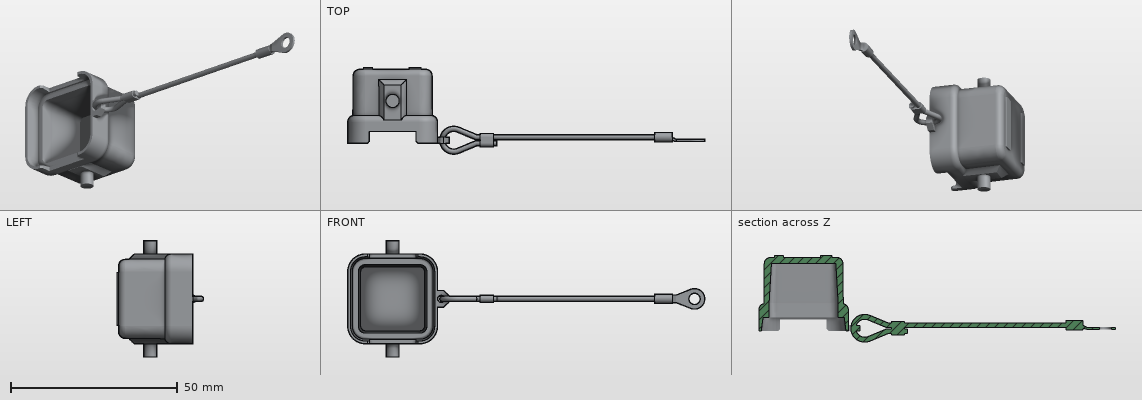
import cadquery as cq
import math


rim_width = 27.1
rim_corner = 5.4
rim_depth = 8.5
rim_fillet = 2.0
rim_edge_wall = 0.9
rim_ledge_wall = 1.4
body_inset = 1.5
body_width = rim_width - 2 * body_inset
body_corner = rim_corner - body_inset
cap_depth = 22.4
back_fillet = 2.0
body_draft = 0.4

ledge_depth = 4.2
cavity_width = 20.6
cavity_corner = 2.1
cavity_draft = 3.4
floor_thickness = 1.9

notch_width = 14.0
notch_depth = 3.5
notch_chamfer = 0.6

boss_width = 8.2
boss_front = 7.1
boss_back = 19.1
boss_slope = body_inset
boss_root = 1.1
pin_diameter = 4.0
pin_span = 35.0
pin_y = 12.8

strip_height = 0.5
strip_length = 15.9
strips = ((-7.4, 2.8), (6.8, 3.7))

tab_half_height = 2.6
tab_tip_half_height = 0.9
tab_straight = 1.7
tab_reach = 3.5
tab_thickness = 1.9
tab_hole_diameter = 2.0
tab_hole_offset = 1.1

wire_diameter = 1.6
strand_gap = 1.8
loop_radius = 3.4
loop_x = rim_width / 2 + 4.8
loop_y = tab_thickness / 2
ferrule_start = 26.3
ferrule_end = 30.4
ferrule_diameter = 2.3
stub_end = 31.4
leg_end = 25.1

terminal_tip = 107.5 - rim_width / 2
sleeve_diameter = 2.9
sleeve_start = 78.8
sleeve_end = 84.1
neck_end = 85.3
neck_half_height = 1.2
neck_rise = 0.3
blade_y = 0.5
blade_thickness = 0.8
ring_radius = 3.1
ring_hole_diameter = 3.3


def square_prism(width, corner, y_start, y_end, draft=0.0):
    """Square bar along +Y with rounded corners, narrowing by the draft angle."""
    outline = cq.Sketch().rect(width, width).vertices().fillet(corner)
    plane = cq.Workplane("XZ", origin=(0, y_start, 0))
    return plane.placeSketch(outline).extrude(-(y_end - y_start), taper=draft)


def make_cap():
    rim = square_prism(rim_width, rim_corner, 0, rim_depth)
    rim = rim.faces(">Y").edges().fillet(rim_fillet)
    body = square_prism(body_width, body_corner, ledge_depth, cap_depth, body_draft)
    body = body.faces(">Y").edges().fillet(back_fillet)
    return rim.union(body)


def cut_cavity(cap):
    """Tapered mouth down to the sealing ledge, a straight throat and a tapered pocket behind it."""
    mouth_width = rim_width - 2 * rim_edge_wall
    mouth_draft = math.degrees(math.atan2(rim_ledge_wall - rim_edge_wall, ledge_depth))
    mouth = square_prism(mouth_width, rim_corner - rim_edge_wall, 0, ledge_depth, mouth_draft)
    throat = square_prism(cavity_width, cavity_corner, ledge_depth, rim_depth)
    pocket = square_prism(cavity_width, cavity_corner, rim_depth, cap_depth - floor_thickness, cavity_draft)
    return cap.cut(mouth).cut(throat).cut(pocket)


def make_notch():
    """Notch through the top and bottom rim walls, flared at the open rim."""
    half = notch_width / 2
    flared = half + notch_chamfer
    return (
        cq.Workplane("XY")
        .polyline([
            (-flared, 0),
            (-half, notch_chamfer),
            (-half, notch_depth),
            (half, notch_depth),
            (half, notch_chamfer),
            (flared, 0),
        ])
        .close()
        .extrude(rim_width / 2, both=True)
    )


def make_boss(side):
    """Raised pad with 45 degree flanks and back end, side = +1 for +Z and -1 for -Z."""
    top_width = boss_width - 2 * boss_slope
    root_z = body_width / 2 - boss_root
    pad = (
        cq.Workplane("YZ")
        .polyline([
            (boss_front, root_z),
            (boss_back + boss_root, root_z),
            (boss_back - boss_slope, rim_width / 2),
            (boss_front, rim_width / 2),
        ])
        .close()
        .extrude(boss_width, both=True)
    )
    flanks = (
        cq.Workplane("XZ", origin=(0, boss_front, 0))
        .polyline([
            (-boss_width / 2 - boss_root, root_z),
            (-top_width / 2, rim_width / 2),
            (top_width / 2, rim_width / 2),
            (boss_width / 2 + boss_root, root_z),
        ])
        .close()
        .extrude(-(boss_back + boss_root - boss_front))
    )
    boss = pad.intersect(flanks)
    pin = (
        cq.Workplane("XY", origin=(0, pin_y, root_z))
        .circle(pin_diameter / 2)
        .extrude(pin_span / 2 - root_z)
    )
    boss = boss.union(pin)
    if side < 0:
        boss = boss.mirror("XY")
    return boss


def make_strip(x, length):
    return cq.Workplane("XY").box(length, 2 * strip_height, strip_length).translate((x, cap_depth, 0))


def make_tab():
    root_x = rim_width / 2 - rim_edge_wall / 2
    edge_x = rim_width / 2
    tab = (
        cq.Workplane("XZ")
        .moveTo(root_x, -tab_half_height)
        .lineTo(edge_x + tab_straight, -tab_half_height)
        .lineTo(edge_x + tab_reach, -tab_tip_half_height)
        .lineTo(edge_x + tab_reach, tab_tip_half_height)
        .lineTo(edge_x + tab_straight, tab_half_height)
        .lineTo(root_x, tab_half_height)
        .close()
        .extrude(-tab_thickness)
    )
    hole = (
        cq.Workplane("XZ", origin=(edge_x + tab_hole_offset, 0, 0))
        .circle(tab_hole_diameter / 2)
        .extrude(-tab_thickness)
    )
    return tab.cut(hole)


def bar_along_x(radius, x_start, x_end, y):
    return cq.Workplane("YZ", origin=(x_start, y, 0)).circle(radius).extrude(x_end - x_start)


def make_loop():
    """Eye of wire: an arc through the tab whose legs run tangentially to the two strands."""
    radius = wire_diameter / 2
    half_gap = strand_gap / 2
    run = leg_end - loop_x
    reach = math.hypot(run, half_gap)
    angle = math.atan2(half_gap, run) + math.acos(loop_radius / reach)
    leg_length = math.sqrt(reach**2 - loop_radius**2)

    arc_end_x = loop_x + loop_radius * math.cos(angle)
    arc_end_y = loop_radius * math.sin(angle)
    arc = (
        cq.Workplane("XY")
        .moveTo(arc_end_x, loop_y + arc_end_y)
        .threePointArc((loop_x - loop_radius, loop_y), (arc_end_x, loop_y - arc_end_y))
    )
    arc_normal = (-math.sin(angle), math.cos(angle), 0)
    arc_plane = cq.Plane(origin=(arc_end_x, loop_y + arc_end_y, 0), xDir=(0, 0, 1), normal=arc_normal)
    loop = cq.Workplane(arc_plane).circle(radius).sweep(arc)
    for side in (1, -1):
        touch = cq.Vector(arc_end_x, loop_y + side * arc_end_y, 0)
        bend = cq.Vector(leg_end, loop_y + side * half_gap, 0)
        leg = cq.Solid.makeCylinder(radius, leg_length, touch, bend - touch)
        joint = cq.Workplane("XY").sphere(radius).translate(bend)
        loop = loop.union(cq.Workplane(obj=leg)).union(joint)
    return loop


def make_ferrule():
    return (
        cq.Workplane("YZ", origin=(ferrule_start, loop_y, 0))
        .slot2D(strand_gap + ferrule_diameter, ferrule_diameter)
        .extrude(ferrule_end - ferrule_start)
    )


def make_terminal():
    """Crimp sleeve, flattened neck and ring blade."""
    wire_y = loop_y + strand_gap / 2
    sleeve = bar_along_x(sleeve_diameter / 2, sleeve_start, sleeve_end, wire_y)
    neck = (
        cq.Workplane("XY")
        .polyline([
            (sleeve_end, blade_y + neck_rise),
            (neck_end, blade_y),
            (neck_end, blade_y + blade_thickness),
            (sleeve_end, wire_y),
        ])
        .close()
        .extrude(neck_half_height, both=True)
    )
    ring_x = terminal_tip - ring_radius
    run = ring_x - neck_end
    angle = math.atan2(neck_half_height, -run) - math.acos(ring_radius / math.hypot(run, neck_half_height))
    touch_x = ring_x + ring_radius * math.cos(angle)
    touch_z = ring_radius * math.sin(angle)
    plane = cq.Workplane("XZ", origin=(0, blade_y, 0))
    blade = (
        plane.moveTo(neck_end, -neck_half_height)
        .lineTo(touch_x, -touch_z)
        .threePointArc((terminal_tip, 0), (touch_x, touch_z))
        .lineTo(neck_end, neck_half_height)
        .close()
        .extrude(-blade_thickness)
    )
    hole = plane.center(ring_x, 0).circle(ring_hole_diameter / 2).extrude(-blade_thickness)
    return sleeve.union(neck).union(blade.cut(hole))


def make_tether():
    radius = wire_diameter / 2
    wire = bar_along_x(radius, leg_end, sleeve_end, loop_y + strand_gap / 2)
    stub = bar_along_x(radius, leg_end, stub_end, loop_y - strand_gap / 2)
    return make_loop().union(make_ferrule()).union(wire).union(stub).union(make_terminal())


cap = make_cap()
for side in (1, -1):
    cap = cap.union(make_boss(side))
cap = cut_cavity(cap).cut(make_notch())
for strip_x, strip_width in strips:
    cap = cap.union(make_strip(strip_x, strip_width))

result = cap.union(make_tab()).union(make_tether())